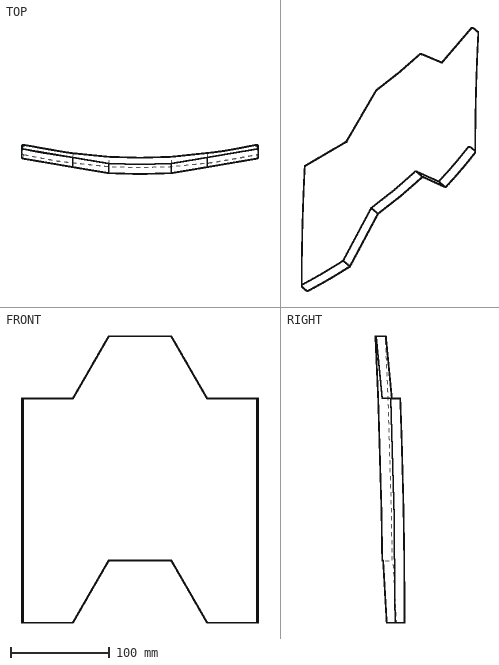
import cadquery as cq
import math

width = 241.3
height = 292.0
half_width = width / 2
tab_half_width = 31.8
shoulder_half_width = 68.4
tab_height = 63.5

thickness = 10.0
cross_radius = 555.0
length_radius = 5842.0
edge_fillet = 2.0

overhang = 14.5
prism_reach = 146.0


def arc_rise(distance, radius):
    """Rise of a circular arc at a distance from its tangent point."""
    return radius - math.sqrt(radius**2 - distance**2)


def saddle_plate():
    """Revolve a curved band about an axis parallel to X to make a doubly bent plate."""
    reach = half_width + overhang
    edge_y = arc_rise(reach, cross_radius)
    sweep_angle = 2 * math.degrees(math.asin((height + overhang) / length_radius))
    band = (
        cq.Workplane("XY")
        .moveTo(-reach, edge_y)
        .threePointArc((0, 0), (reach, edge_y))
        .lineTo(reach, edge_y + thickness)
        .threePointArc((0, thickness), (-reach, edge_y + thickness))
        .close()
    )
    plate = band.revolve(sweep_angle, (0, -length_radius, 0), (1, -length_radius, 0))
    return plate.rotate((0, -length_radius, 0), (1, -length_radius, 0), -sweep_angle / 2)


def outline_prism():
    """Outline with a tapered tab on top and a matching notch below, through the plate."""
    right_side = [
        (tab_half_width, height),
        (shoulder_half_width, height - tab_height),
        (half_width, height - tab_height),
        (half_width, 0),
        (shoulder_half_width, 0),
        (tab_half_width, tab_height),
    ]
    left_side = [(-x, z) for x, z in reversed(right_side)]
    return cq.Workplane("XZ").polyline(right_side + left_side).close().extrude(prism_reach, both=True)


def round_side_edges(plate):
    """Round the front and back edges of both flat side walls."""
    return plate.faces("<X or >X").edges("not |Y").fillet(edge_fillet)


result = round_side_edges(saddle_plate().intersect(outline_prism()))